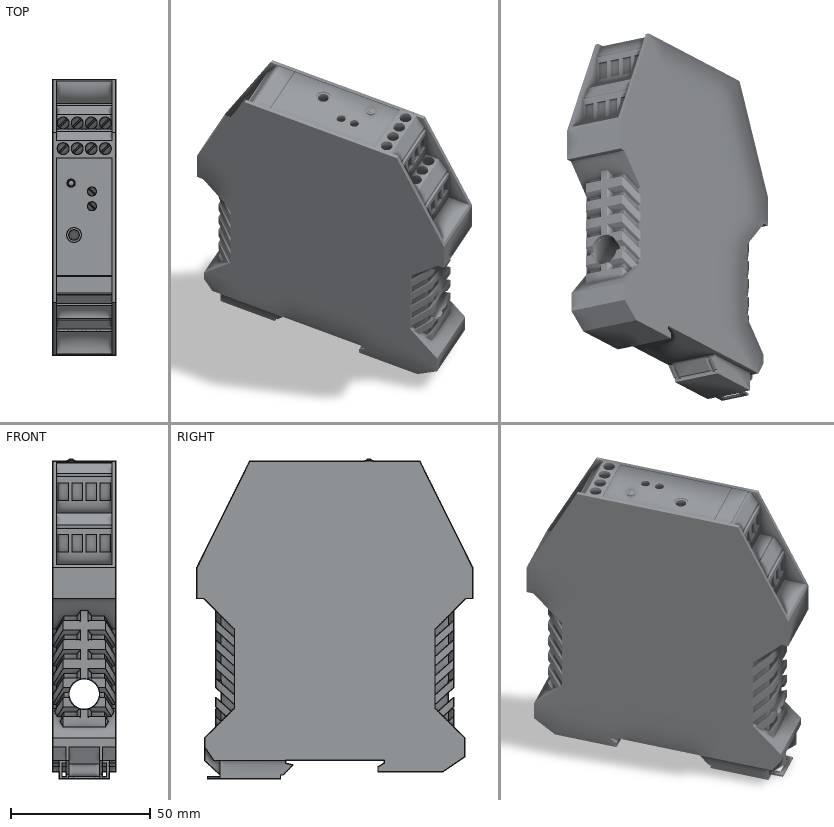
import cadquery as cq
import math


width = 22.6
height = 114.7
wall = 1.3
inner_width = width - 2 * wall
half_depth = 99.0 / 2
top_z = 113.9
half_top = 30.5
shoulder_z = 75.7
flange_z = 64.6
flange_step = 2.5
waist_y = 36.0
waist_top_z = 53.7
waist_bottom_z = 25.2
foot_y = 46.7
foot_z = 14.7
rail_z = 6.7

tier_count = 2
tier_run = 9.2
tier_drop = 18.6
tier_slope_y = 27.6
tier_slope_run = 3.2
tier_slope_drop = 4.4
tier_lip = 1.1
tier_ledge = 0.8
tier_floor_z = 76.9
tier_face_y = tier_slope_y + tier_slope_run + tier_ledge

terminal_count = 4
terminal_pitch = 5.0
terminal_xs = [(i - (terminal_count - 1) / 2) * terminal_pitch for i in range(terminal_count)]
entry_width = 3.8
entry_height = 6.3
entry_depth = 1.1
entry_below_top = 10.9
screw_y = 24.7
screw_diameter = 4.2
screw_depth = 4.6
screw_slot = 0.6

panel_recess = 0.3
panel_back_y = 21.3
panel_front_y = -21.1
groove_depth = 0.7
panel_groove = 0.3
tier_groove = 0.6
trimmer_x = 2.8
trimmer_ys = (9.3, 4.0)
trimmer_diameter = 3.2
trimmer_depth = 3.4
trimmer_slot = 0.3
slot_depth = 0.6
lamp_x = -4.7
lamp_y = 12.3
lamp_radius = 1.3
lamp_collar_diameter = 2.9
lamp_collar_height = 0.6
jack_x = -3.7
jack_y = -6.3
jack_rim_diameter = 5.3
jack_rim_depth = 0.3
jack_diameter = 3.8
jack_depth = 4.6

vent_y = 42.7
vent_half = 7.6
vent_core_y = 40.7
vent_core_half = 7.2
vent_core_half_base = 10.0
vent_rib_half = 1.3
vent_rib_half_base = 2.6
vent_bottom_z = 17.2
vent_top_z = 62.0
louvre_top_z = 58.5
louvre_count = 6
louvre_pitch = 6.9
louvre_gap = 3.4
louvre_first_z = 25.8
louvre_slope = 0.9
vent_hole_z = 30.4
vent_hole_diameter = 10.9

clip_width = 18.0
clip_front_y = -41.2
clip_floor = 0.8
clip_wall = 1.0
clip_core_half = 6.5
clip_window_top = 5.6
cheek = 1.0
chin_z = 11.5
chin_back_y = -43.4
cheek_bend_z = 6.5
cheek_bottom_z = 1.5
recess_bend_z = 5.3
recess_bend_y = -foot_y + (chin_z - recess_bend_z) * (foot_y + chin_back_y) / (chin_z - rail_z)
recess_back_y = -41.0
pull_half = 5.6
pull_front_y = -45.5
pull_bar = 1.5
pull_slot_back_y = -41.6
pull_slot_half = 3.8


def prism(points, x_min, x_max):
    """Solid with a (Y, Z) outline between two X positions."""
    return cq.Workplane("YZ").polyline(points).close().extrude(x_max - x_min).translate((x_min, 0, 0))


def centred_prism(points, x_width):
    """Solid with a (Y, Z) outline, centred on X = 0."""
    return prism(points, -x_width / 2, x_width / 2)


def block(x_min, x_max, y_min, y_max, z_min, z_max):
    """Axis-aligned box given by its limits."""
    size = (x_max - x_min, y_max - y_min, z_max - z_min)
    return cq.Workplane("XY").box(*size, centered=False).translate((x_min, y_min, z_min))


def plan_prism(half_points, z_min, z_max):
    """Solid with an XY outline mirrored about X = 0; the points give its +X half."""
    mirrored = [(-x, y) for x, y in reversed(half_points)]
    plan = cq.Workplane("XY").workplane(offset=z_min)
    return plan.polyline(half_points + mirrored).close().extrude(z_max - z_min)


def upright_cylinder(x, y, z, diameter, depth):
    """Upright cylinder whose top face is at height z."""
    return cq.Workplane("XY").circle(diameter / 2).extrude(depth).translate((x, y, z - depth))


def slotted_screw(x, y, z, diameter, depth, slot, angle):
    """Sunk screw: a round hole with a driver slot across its floor."""
    hole = upright_cylinder(x, y, z, diameter, depth)
    length = math.sqrt(diameter ** 2 - slot ** 2)
    groove = cq.Workplane("XY").box(length, slot, slot_depth, centered=(True, True, False))
    groove = groove.rotate((0, 0, 0), (0, 0, 1), angle)
    return hole.union(groove.translate((x, y, z - depth - slot_depth)))


def housing():
    """Side outline across the full width, with the fixed hook of the foot at +Y."""
    front_half = [
        (chin_back_y, rail_z),
        (-foot_y, chin_z),
        (-foot_y, foot_z),
        (-waist_y, waist_bottom_z),
        (-waist_y, waist_top_z),
        (flange_step - half_depth, flange_z),
        (-half_depth, flange_z),
        (-half_depth, shoulder_z),
        (-half_top, top_z),
    ]
    back_half = [(-y, z) for y, z in reversed(front_half[2:])]
    hook = [(foot_y, 7.9), (38.8, 2.5), (15.5, 2.5), (15.5, 4.4), (17.7, 5.6), (17.7, rail_z)]
    return centred_prism(front_half + back_half + hook, width)


def tier_cutout():
    """Space in front of the stepped terminal faces on the +Y side."""
    outline = []
    for tier in range(tier_count):
        y = tier_slope_y + tier * tier_run
        z = top_z - tier * tier_drop
        lip_y = y + tier_slope_run
        lip_z = z - tier_slope_drop
        outline += [
            (y, z),
            (lip_y, lip_z),
            (lip_y, lip_z - tier_lip),
            (lip_y + tier_ledge, lip_z - tier_lip),
            (lip_y + tier_ledge, z - tier_drop if tier < tier_count - 1 else tier_floor_z),
        ]
    outline += [(half_depth, tier_floor_z), (half_depth, top_z)]
    return centred_prism(outline, inner_width)


def wire_entries():
    """Rectangular pockets in the terminal faces on the +Y side."""
    pockets = cq.Workplane("XY")
    for tier in range(tier_count):
        y = tier_face_y + tier * tier_run - entry_depth / 2
        z = top_z - tier * tier_drop - entry_below_top
        for x in terminal_xs:
            pocket = cq.Workplane("XY").box(entry_width, entry_depth, entry_height)
            pockets = pockets.add(pocket.translate((x, y, z)))
    return pockets.combine()


def cut_terminals(body):
    tiers = tier_cutout()
    entries = wire_entries()
    body = body.cut(tiers).cut(tiers.mirror("XZ"))
    body = body.cut(entries).cut(entries.mirror("XZ"))
    for tier in range(tier_count):
        y = tier * tier_run
        z = top_z - tier * tier_drop
        for x in terminal_xs:
            body = body.cut(slotted_screw(x, screw_y + y, z, screw_diameter, screw_depth, screw_slot, 45))
        groove_y = -tier_slope_y - y
        half = inner_width / 2
        body = body.cut(block(-half, half, groove_y, groove_y + tier_groove, z - groove_depth, z))
    return body


def cut_panel(body):
    """Recessed top panel with its trimmers, jack and lamp."""
    half = inner_width / 2
    panel_z = top_z - panel_recess
    body = body.cut(block(-half, half, -half_top, panel_back_y, panel_z, top_z))
    groove_back = panel_front_y + panel_groove
    body = body.cut(block(-half, half, panel_front_y, groove_back, top_z - groove_depth, top_z))
    for y in trimmer_ys:
        body = body.cut(slotted_screw(trimmer_x, y, panel_z, trimmer_diameter, trimmer_depth,
                                      trimmer_slot, -45))
    body = body.cut(upright_cylinder(jack_x, jack_y, panel_z, jack_rim_diameter, jack_rim_depth))
    body = body.cut(upright_cylinder(jack_x, jack_y, panel_z, jack_diameter, jack_depth))
    collar_z = panel_z + lamp_collar_height
    collar = upright_cylinder(lamp_x, lamp_y, collar_z, lamp_collar_diameter, lamp_collar_height)
    dome = cq.Workplane("XY").sphere(lamp_radius).translate((lamp_x, lamp_y, height - lamp_radius))
    return body.union(collar).union(dome)


def vent():
    """Louvred block on the +Y side: sloping gaps cut around a solid core and rib."""
    base_half = width / 2
    shell = plan_prism([(base_half, waist_y), (vent_half, vent_y)], vent_bottom_z, louvre_top_z)
    core_plan = [
        (vent_core_half_base, waist_y),
        (vent_core_half, vent_core_y),
        (vent_rib_half_base, vent_core_y),
        (vent_rib_half, vent_y),
    ]
    core = plan_prism(core_plan, vent_bottom_z, vent_top_z)
    fall = (vent_y - waist_y) * louvre_slope
    for i in range(louvre_count):
        top = louvre_first_z + i * louvre_pitch
        bottom = top - louvre_gap
        gap = [(vent_y, top), (vent_y, bottom), (waist_y, bottom - fall), (waist_y, top - fall)]
        shell = shell.cut(centred_prism(gap, width))
    return shell.union(core)


def rail_clip():
    """Sliding clip with two open channels, two cheeks and a slotted pull tab."""
    outline = [
        (-17.5, rail_z),
        (-17.5, 5.6),
        (-14.9, 5.0),
        (-18.5, 1.4),
        (-19.4, 1.4),
        (-19.4, 0),
        (clip_front_y, 0),
        (clip_front_y, rail_z),
    ]
    clip = centred_prism(outline, clip_width)
    channel_outer = clip_width / 2 - clip_wall
    for x_min, x_max in ((-channel_outer, -clip_core_half), (clip_core_half, channel_outer)):
        clip = clip.cut(block(x_min, x_max, clip_front_y, 0, clip_floor, clip_window_top))

    cheek_outline = [
        (chin_back_y, chin_z),
        (-foot_y, chin_z),
        (-foot_y, cheek_bend_z),
        (clip_front_y, cheek_bottom_z),
        (clip_front_y, rail_z),
    ]
    cheeks = centred_prism(cheek_outline, 2 * clip_core_half)

    pull = block(-pull_half, pull_half, pull_front_y, clip_front_y, 0, clip_floor)
    slot_front = pull_front_y + pull_bar
    pull = pull.cut(block(-pull_slot_half, pull_slot_half, slot_front, pull_slot_back_y, 0, clip_floor))
    return clip.union(cheeks).union(pull)


def cheek_recess():
    """Space between the cheeks under the sloping chin, above the pull tab."""
    outline = [
        (-foot_y, chin_z),
        (recess_bend_y, recess_bend_z),
        (recess_back_y, recess_bend_z),
        (recess_back_y, clip_floor),
        (-foot_y, clip_floor),
    ]
    return centred_prism(outline, 2 * (clip_core_half - cheek))


body = cut_panel(cut_terminals(housing()))
louvres = vent()
body = body.union(louvres).union(louvres.mirror("XZ")).union(rail_clip())
vent_axis = cq.Workplane("XZ").center(0, vent_hole_z)
vent_hole = vent_axis.circle(vent_hole_diameter / 2).extrude(half_depth, both=True)
result = body.cut(cheek_recess()).cut(vent_hole)